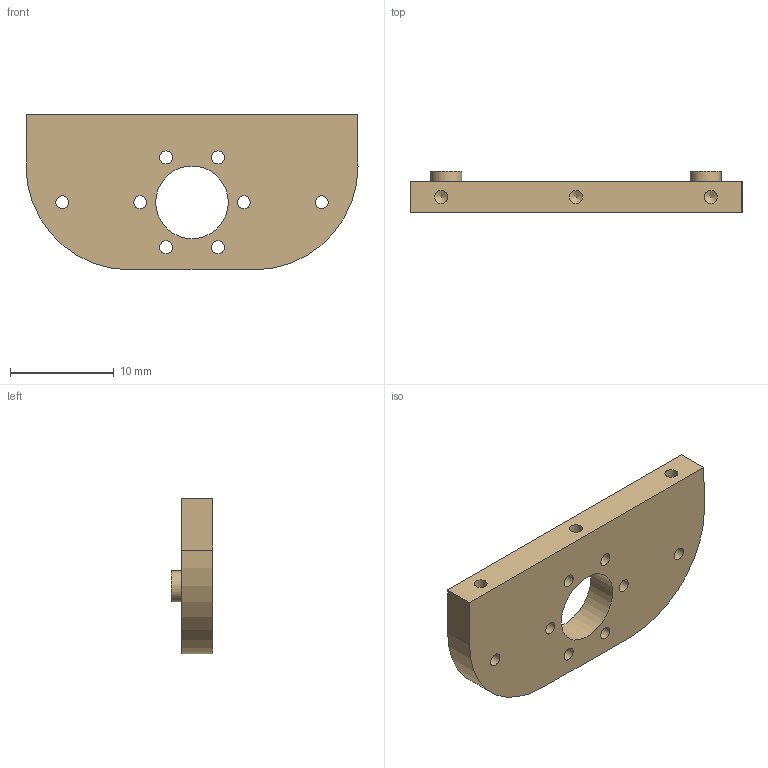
import cadquery as cq
import math

plate_width = 32.0
plate_height = 15.0
plate_thickness = 3.0
corner_radius = 10.0
right_edge_inset = 0.08

bore_diameter = 7.0
bore_height = 6.5
screw_hole_diameter = 1.25
ring_radius = 5.0
ring_count = 6

boss_spacing = 25.0
boss_diameter = 3.0
boss_height = 1.0

edge_hole_spacing = 13.0
edge_hole_depth = 4.0
drill_point_angle = 118.0

half_width = plate_width / 2
bottom_z = -bore_height
top_z = bottom_z + plate_height
shoulder_z = bottom_z + corner_radius
half_flat = half_width - corner_radius


def cylinder_along_y(x, z, diameter, start_y, length):
    """Cylinder running in +Y from start_y, centred on (x, z)."""
    base = cq.Vector(x, start_y, z)
    return cq.Workplane(obj=cq.Solid.makeCylinder(diameter / 2, length, base, cq.Vector(0, 1, 0)))


def make_plate():
    """Plate with a square top and two large rounded lower corners."""
    arc_offset = corner_radius * math.sqrt(0.5)
    arc_mid_x = half_flat + arc_offset
    arc_mid_z = shoulder_z - arc_offset
    outline = (
        cq.Workplane("XZ")
        .moveTo(-half_width, top_z)
        .lineTo(-half_width, shoulder_z)
        .threePointArc((-arc_mid_x, arc_mid_z), (-half_flat, bottom_z))
        .lineTo(half_flat, bottom_z)
        .threePointArc((arc_mid_x, arc_mid_z), (half_width, shoulder_z))
        .lineTo(half_width - right_edge_inset, top_z)
        .close()
    )
    return outline.extrude(-plate_thickness)


def make_edge_hole(x):
    """Blind hole with a drill-point bottom, entering the top edge at x."""
    radius = screw_hole_diameter / 2
    point_depth = radius / math.tan(math.radians(drill_point_angle / 2))
    entry = cq.Vector(x, plate_thickness / 2, top_z)
    down = cq.Vector(0, 0, -1)
    shaft = cq.Solid.makeCylinder(radius, edge_hole_depth, entry, down)
    point = cq.Solid.makeCone(radius, 0, point_depth, entry + down * edge_hole_depth, down)
    return cq.Workplane(obj=shaft).union(cq.Workplane(obj=point))


boss_positions = (-boss_spacing / 2, boss_spacing / 2)
through_length = plate_thickness + boss_height

result = make_plate()

for boss_x in boss_positions:
    result = result.union(cylinder_along_y(boss_x, 0, boss_diameter, plate_thickness, boss_height))
    result = result.cut(cylinder_along_y(boss_x, 0, screw_hole_diameter, 0, through_length))

result = result.cut(cylinder_along_y(0, 0, bore_diameter, 0, plate_thickness))

for index in range(ring_count):
    angle = 2 * math.pi * index / ring_count
    hole_x = ring_radius * math.cos(angle)
    hole_z = ring_radius * math.sin(angle)
    result = result.cut(cylinder_along_y(hole_x, hole_z, screw_hole_diameter, 0, plate_thickness))

for edge_hole_x in (-edge_hole_spacing, 0, edge_hole_spacing):
    result = result.cut(make_edge_hole(edge_hole_x))